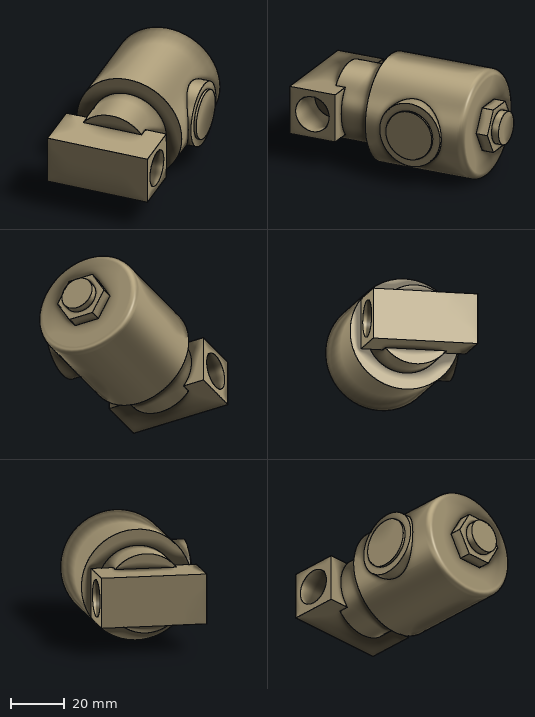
import cadquery as cq
import math

overall_length = 79.9
front_y = -overall_length / 2
rear_y = overall_length / 2
block_size = 18.95
collar_front_y = front_y + 15.0
collar_rear_y = front_y + 31.5
coil_front_y = front_y + 32.0
coil_rear_y = rear_y - 7.5
nut_rear_y = rear_y - 2.9

block_length = 40.0
port_diameter = 13.9
port_depth = 16.0
collar_diameter = 30.0
neck_diameter = 25.6

coil_diameter = 42.0
coil_fillet = 2.4
nut_sides = 6
nut_across_flats = 17.0
nut_across_corners = nut_across_flats / math.cos(math.pi / nut_sides)
stud_diameter = 12.8

outlet_y = rear_y - 28.9
outlet_diameter = 25.0
outlet_shoulder_x = 22.1
outlet_tip_diameter = 19.0
overall_width = 44.0
outlet_tip_x = overall_width - coil_diameter / 2


def cylinder_y(diameter, start_y, end_y):
    """Cylinder on the Y axis between two Y positions."""
    return cq.Workplane("XZ", origin=(0, start_y, 0)).circle(diameter / 2).extrude(start_y - end_y)


def outlet_cylinder(diameter, end_x):
    """Cylinder running in +X from the coil axis to end_x."""
    return cq.Workplane("YZ", origin=(0, outlet_y, 0)).circle(diameter / 2).extrude(end_x)


def make_valve_body():
    """Port block with a round collar, a short neck and a blind port in each end."""
    block_y = front_y + block_size / 2
    block = cq.Workplane("XY").box(block_length, block_size, block_size)
    block = block.translate((0, block_y, 0))
    collar = cylinder_y(collar_diameter, collar_front_y, collar_rear_y)
    neck = cylinder_y(neck_diameter, collar_rear_y, coil_front_y)
    body = block.union(collar).union(neck)
    for side in (-1, 1):
        end_x = side * block_length / 2
        port = cq.Workplane("YZ", origin=(end_x, block_y, 0)).circle(port_diameter / 2)
        body = body.cut(port.extrude(-side * port_depth))
    return body


def make_coil():
    """Round coil housing with a side outlet and a hexagonal nut and stud at the rear."""
    housing = cylinder_y(coil_diameter, coil_front_y, coil_rear_y).faces(">Y").edges().fillet(coil_fillet)
    nut = (
        cq.Workplane("XZ", origin=(0, coil_rear_y, 0))
        .polygon(nut_sides, nut_across_corners)
        .extrude(coil_rear_y - nut_rear_y)
    )
    stud = cylinder_y(stud_diameter, nut_rear_y, rear_y)
    outlet = outlet_cylinder(outlet_diameter, outlet_shoulder_x)
    outlet_tip = outlet_cylinder(outlet_tip_diameter, outlet_tip_x)
    return housing.union(nut).union(stud).union(outlet).union(outlet_tip)


valve_body = make_valve_body()
coil = make_coil()

result = cq.Compound.makeCompound([valve_body.val(), coil.val()])